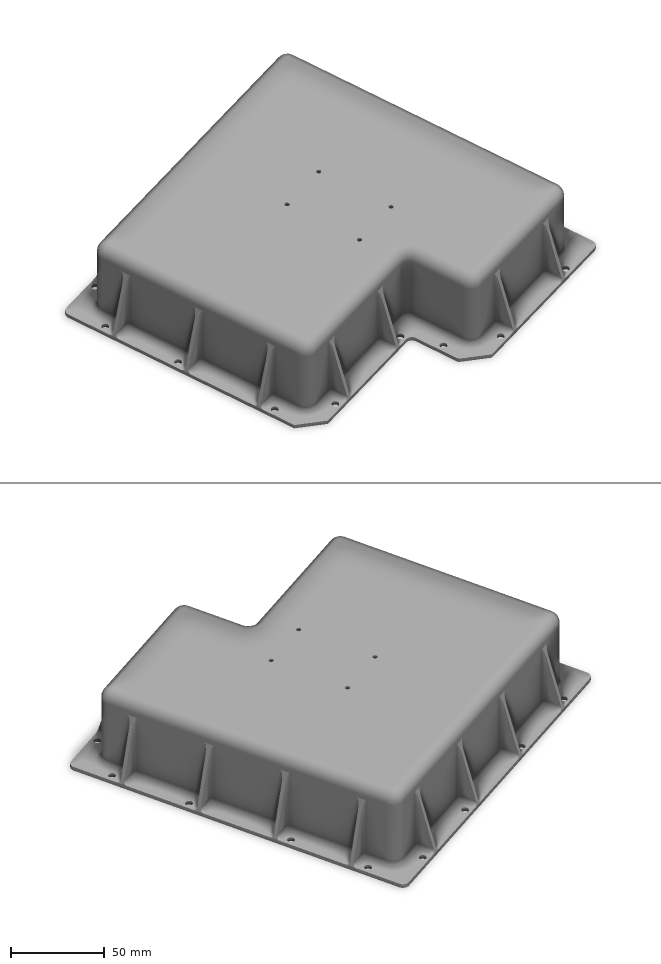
import cadquery as cq
import math

length = 206.4
depth = 203.3
height = 50.3

flange_thick = 2.5
notch_x = 59.2
notch_y = 90.2
flange_corner = 3.7
flange_chamfer = 12.8

wall_inset = 11.3
step_wall_inset = 12.4
wall_corner = 6.6
inner_corner = 4.5
top_round = 6.5

rib_thick = 2.0
rib_top = 41.0
blend_radius = 2.0
rib_overrun = 6.2
rib_pitch_x = 46.6
rib_pitch_y = 45.8

bolt_diameter = 4.1
bolt_inset = 3.7
bolt_outer_x = 78.2
bolt_inner_x = 31.2
bolt_outer_y = 76.3
bolt_inner_y = 30.5
bolt_step_y = 15.0
pilot_diameter = 2.7
pilot_depth = 5.2
pilot_pitch_y = 29.7

right = length / 2
back = depth / 2
step_x = notch_x
step_y = notch_y - back

tol = 0.02


def l_shape(inset, step_inset):
    """Closed L-shaped outline, moved inwards from the flange edge.

    The side facing -Y in the notch has its own step_inset.
    """
    return cq.Workplane("XY").polyline([
        (-right + inset, -back + inset),
        (step_x - inset, -back + inset),
        (step_x - inset, step_y + step_inset),
        (right - inset, step_y + step_inset),
        (right - inset, back - inset),
        (-right + inset, back - inset),
    ]).close()


def upright_edge(x, y):
    """Selector for the vertical edge of a plate at (x, y)."""
    return cq.selectors.BoxSelector((x - tol, y - tol, 0), (x + tol, y + tol, height))


def make_flange(thickness):
    """Flange outline with its cut and rounded corners, as a prism."""
    flange = l_shape(0, 0).extrude(thickness)
    for x, y in [(step_x, -back), (right, step_y)]:
        flange = flange.edges(upright_edge(x, y)).chamfer(flange_chamfer)
    for x, y in [(-right, -back), (-right, back), (right, back), (step_x, step_y)]:
        flange = flange.edges(upright_edge(x, y)).fillet(flange_corner)
    return flange


def make_box():
    """Raised L-shaped box with rounded corners and a rounded top rim."""
    box = l_shape(wall_inset, step_wall_inset).extrude(height)
    inner = upright_edge(step_x - wall_inset, step_y + step_wall_inset)
    box = box.edges(inner).fillet(inner_corner)
    low, high = wall_inset - right, right - wall_inset
    front, rear = wall_inset - back, back - wall_inset
    outer = [
        (low, front),
        (step_x - wall_inset, front),
        (high, step_y + step_wall_inset),
        (high, rear),
        (low, rear),
    ]
    for x, y in outer:
        box = box.edges(upright_edge(x, y)).fillet(wall_corner)
    return box.faces(">Z").edges().fillet(top_round)


row_steps = (-1.5, -0.5, 0.5, 1.5)
row_x = [rib_pitch_x * step for step in row_steps]
row_y = [rib_pitch_y * step for step in row_steps]
ribs = [(x, back, 90) for x in row_x]
ribs += [(x, -back, -90) for x in row_x[:3]]
ribs += [(-right, y, 180) for y in row_y]
ribs += [(step_x, y, 0) for y in row_y[:2]]
ribs += [(right, y, 0) for y in row_y[2:]]


def rib_prism(outline, width, rib):
    """Extrude a profile of outward distance from the flange edge and height."""
    x, y, angle = rib
    prism = cq.Workplane("XZ").polyline(outline).close().extrude(width / 2, both=True)
    return prism.rotate((0, 0, 0), (0, 0, 1), angle).translate((x, y, 0))


def rib_root(rib):
    """Selector for the two vertical edges where a rib block meets the wall."""
    x, y, angle = rib
    root_x = x - wall_inset * math.cos(math.radians(angle))
    root_y = y - wall_inset * math.sin(math.radians(angle))
    middle = (flange_thick + rib_top) / 2
    return cq.selectors.BoxSelector(
        (root_x - rib_thick, root_y - rib_thick, middle - tol),
        (root_x + rib_thick, root_y + rib_thick, middle + tol),
    )


def make_blended_box():
    """Box and square rib blocks on an oversized plate, with all inner corners rounded."""
    plate_margin = 20.6
    plate = cq.Workplane("XY").rect(length + 2 * plate_margin, depth + 2 * plate_margin).extrude(flange_thick)
    body = plate.union(make_box())
    block = [
        (-wall_inset - rib_thick, 0),
        (rib_overrun, 0),
        (rib_overrun, rib_top),
        (-wall_inset - rib_thick, rib_top),
    ]
    for rib in ribs:
        body = body.union(rib_prism(block, rib_thick, rib))

    reach_x = right + rib_overrun + tol
    reach_y = back + rib_overrun + tol
    blended = cq.selectors.BoxSelector(
        (-reach_x, -reach_y, flange_thick - tol),
        (reach_x, reach_y, flange_thick + tol),
    )
    for rib in ribs:
        blended = blended + rib_root(rib)
    return body.edges(blended).fillet(blend_radius)


def slope_ribs(body):
    """Cut every rib along a plane from the flange edge up to the wall."""
    slope = [
        (0, flange_thick),
        (rib_overrun, flange_thick),
        (rib_overrun, height),
        (-wall_inset, height),
        (-wall_inset, rib_top),
    ]
    cut_width = 2 * (rib_thick + blend_radius)
    for rib in ribs:
        body = body.cut(rib_prism(slope, cut_width, rib))
    return body


def drill_bolt_holes(body):
    """Through holes along the flange edge."""
    edge_x = right - bolt_inset
    edge_y = back - bolt_inset
    bolts = [(x, edge_y) for x in (-bolt_outer_x, -bolt_inner_x, bolt_inner_x, bolt_outer_x)]
    bolts += [(x, -edge_y) for x in (-bolt_outer_x, -bolt_inner_x, bolt_inner_x)]
    bolts += [(-edge_x, y) for y in (-bolt_outer_y, -bolt_inner_y, bolt_inner_y, bolt_outer_y)]
    bolts += [(edge_x, bolt_outer_y), (edge_x, bolt_step_y)]
    bolts += [(bolt_outer_x, step_y + bolt_inset)]
    bolts += [(step_x - bolt_inset, y) for y in (step_y - bolt_inset, -bolt_outer_y)]
    cutters = cq.Workplane("XY").pushPoints(bolts).circle(bolt_diameter / 2).extrude(flange_thick + blend_radius)
    return body.cut(cutters)


def drill_pilot_holes(body):
    """Four blind holes in the top face, in line with the inner ribs."""
    pilots = [(x, y) for x in row_x[1:3] for y in (row_y[2], row_y[2] - pilot_pitch_y)]
    cutters = (
        cq.Workplane("XY", origin=(0, 0, height - pilot_depth))
        .pushPoints(pilots)
        .circle(pilot_diameter / 2)
        .extrude(pilot_depth)
    )
    return body.cut(cutters)


part = make_blended_box().intersect(make_flange(height))
part = slope_ribs(part)
part = drill_bolt_holes(part)
result = drill_pilot_holes(part)